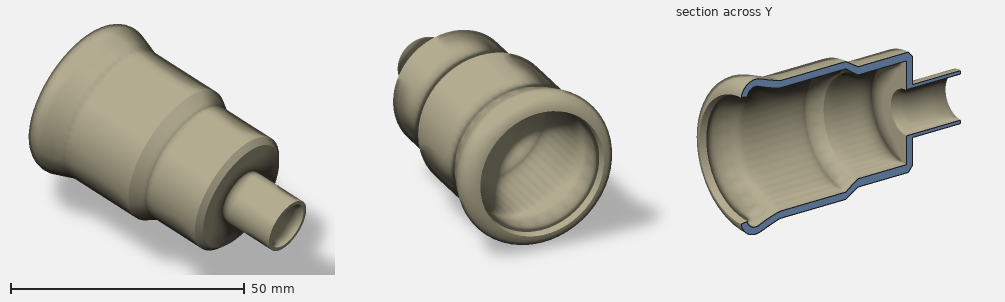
import cadquery as cq
import math

total_length = 59.5
shoulder_start = 28.4
shoulder_end = 31.65
body_end = 46.45
body_chamfer_length = 1.2
floor_thickness = 1.8

bead_outer_radius = 18.0
mouth_radius = 14.65
sleeve_radius = 16.0
body_radius = 14.0
body_bore_radius = 11.95
body_chamfer_depth = 1.35
tube_radius = 6.2
tube_bore_radius = 5.3

sheet_thickness = 1.8
bead_arc_radius = 4.0
neck_arc_radius = 3.35
neck_x = 11.0

sleeve_bore_radius = sleeve_radius - sheet_thickness
floor_x = body_end - floor_thickness

bead_center_r = bead_outer_radius - bead_arc_radius
mouth_rise = mouth_radius - bead_center_r
bead_center_x = math.sqrt(bead_arc_radius**2 - mouth_rise**2)
neck_center_r = sleeve_radius + neck_arc_radius

center_dx = neck_x - bead_center_x
center_dr = neck_center_r - bead_center_r
center_distance = math.hypot(center_dx, center_dr)
cone_normal = math.atan2(center_dr, center_dx) + math.acos(
    (bead_arc_radius + neck_arc_radius) / center_distance
)
mouth_angle = math.pi - math.asin(mouth_rise / bead_arc_radius)


def bead_point(radius, angle):
    """Point in the (X, radius) plane on a circle about the bead centre."""
    return (bead_center_x + radius * math.cos(angle), bead_center_r + radius * math.sin(angle))


def neck_point(radius, angle):
    """Point on the lower side of a circle about the neck centre."""
    return (neck_x - radius * math.cos(angle), neck_center_r - radius * math.sin(angle))


bead_mid_angle = (mouth_angle + cone_normal) / 2
neck_mid_angle = (cone_normal + math.pi / 2) / 2
bead_inner_radius = bead_arc_radius - sheet_thickness
neck_inner_radius = neck_arc_radius + sheet_thickness

profile = (
    cq.Workplane("XY")
    .moveTo(*bead_point(bead_arc_radius, mouth_angle))
    .threePointArc(
        bead_point(bead_arc_radius, bead_mid_angle),
        bead_point(bead_arc_radius, cone_normal),
    )
    .lineTo(*neck_point(neck_arc_radius, cone_normal))
    .threePointArc(neck_point(neck_arc_radius, neck_mid_angle), (neck_x, sleeve_radius))
    .lineTo(shoulder_start, sleeve_radius)
    .lineTo(shoulder_end, body_radius)
    .lineTo(body_end - body_chamfer_length, body_radius)
    .lineTo(body_end, body_radius - body_chamfer_depth)
    .lineTo(body_end, tube_radius)
    .lineTo(total_length, tube_radius)
    .lineTo(total_length, tube_bore_radius)
    .lineTo(floor_x, tube_bore_radius)
    .lineTo(floor_x, body_bore_radius)
    .lineTo(shoulder_end, body_bore_radius)
    .lineTo(shoulder_start, sleeve_bore_radius)
    .lineTo(neck_x, sleeve_bore_radius)
    .threePointArc(
        neck_point(neck_inner_radius, neck_mid_angle),
        neck_point(neck_inner_radius, cone_normal),
    )
    .lineTo(*bead_point(bead_inner_radius, cone_normal))
    .threePointArc(
        bead_point(bead_inner_radius, bead_mid_angle),
        bead_point(bead_inner_radius, mouth_angle),
    )
    .close()
)

result = profile.revolve(360, (0, 0, 0), (1, 0, 0))